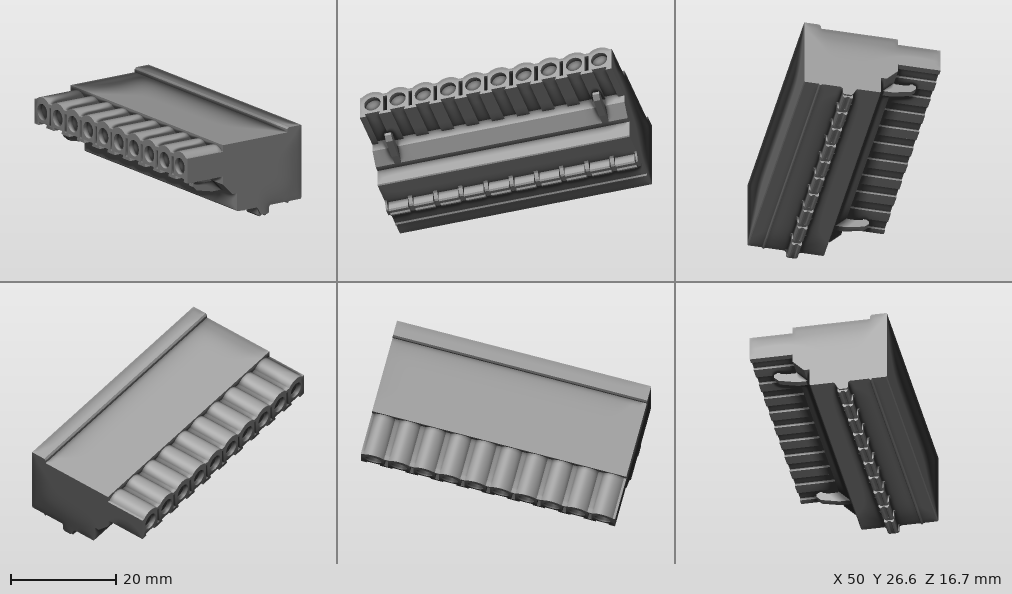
import cadquery as cq

pole_count = 10
pitch = 5.0
length = pole_count * pitch
depth = 26.6
height = 16.7
body_top = 13.7
body_front = 8.3
lower_front = 11.6
overhang_bottom = 3.6
bevel_start_y = 10.5
bevel_top = 5.7
front_edge_chamfer = 0.15
floor_edge_chamfer = 0.2

rail_top = 14.65
rail_front = 23.35
rail_chamfer = 0.325

row_bottom = 7.45
row_valley = 12.35
crown_top = 13.25
crown_radius = 2.9
entry_radius = 1.6
entry_z = 10.3
entry_depth = 1.0
slit_width = 0.75
slit_bottom = 8.1
slit_top = 11.7
groove_top = 8.1
groove_top_width = 2.95
groove_bottom_width = 2.5

arm_width = 1.3
arm_center = 4.4
arm_front = 3.95
arm_nose_bottom = 5.25
arm_nose_top = 5.8
arm_hook_front = 4.6
arm_hook_back = 5.1
arm_hook_top = 6.2
arm_hook_foot = (5.2, 5.95)
arm_rise_start = 6.35
arm_belly_front = (4.85, 4.4)
arm_belly_back = 8.45
arm_root_chamfer = 0.2

key_width = 3.9
key_front = 16.95
key_back = 18.9
key_bottom = -1.75
foot_tip = rail_top - height
foot_base_width = 0.75
foot_tip_width = 0.3
web_width = 0.8
web_back = 19.1
web_root_front = 16.55
web_tip_front = 17.1
web_bottom = -1.65
web_chamfer = 0.3
rib_y = 23.45
rib_half_width = 0.3
rib_tip_half_width = 0.1
rib_height = 0.3


def along_x(outline, start, width):
    """Extrude a closed (y, z) outline along X."""
    return cq.Workplane("YZ", origin=(start, 0, 0)).polyline(outline).close().extrude(width)


def along_y(outline, end):
    """Extrude a closed (x, z) outline from the entry face back to y = end."""
    return cq.Workplane("XZ").polyline(outline).close().extrude(-end)


def cylinder_along_y(x, z, radius, end):
    return cq.Workplane("XZ").center(x, z).circle(radius).extrude(-end)


def block(x0, x1, y0, y1, z0, z1):
    return cq.Workplane("XY").box(x1 - x0, y1 - y0, z1 - z0, centered=False).translate((x0, y0, z0))


pole_centers = [(i + 0.5) * pitch for i in range(pole_count)]
pole_borders = [i * pitch for i in range(1, pole_count)]


def make_housing():
    outline = [
        (lower_front + floor_edge_chamfer, 0),
        (depth - floor_edge_chamfer, 0),
        (depth, floor_edge_chamfer),
        (depth, rail_top),
        (rail_front + rail_chamfer, rail_top),
        (rail_front, rail_top - rail_chamfer),
        (rail_front, body_top),
        (body_front, body_top),
        (body_front, bevel_top + front_edge_chamfer),
        (body_front + front_edge_chamfer, bevel_top),
        (bevel_start_y, overhang_bottom),
        (lower_front, overhang_bottom),
        (lower_front, floor_edge_chamfer),
    ]
    return along_x(outline, 0, length)


def make_entry_row():
    row = block(0, length, 0, body_front, row_bottom, row_valley)
    envelope = block(0, length, 0, body_front, row_bottom, crown_top)
    for x in pole_centers:
        crown = cylinder_along_y(x, crown_top - crown_radius, crown_radius, body_front)
        row = row.union(crown.intersect(envelope))
    return row


def cut_entry_row(body):
    for x in pole_centers:
        hole = cylinder_along_y(x, entry_z, entry_radius, entry_depth)
        groove = along_y([
            (x - groove_bottom_width / 2, row_bottom),
            (x + groove_bottom_width / 2, row_bottom),
            (x + groove_top_width / 2, groove_top),
            (x - groove_top_width / 2, groove_top),
        ], body_front)
        body = body.cut(hole).cut(groove)
    for x in pole_borders:
        slit = block(x - slit_width / 2, x + slit_width / 2, 0, body_front, slit_bottom, slit_top)
        body = body.cut(slit)
    return body


def make_arm(x):
    outline = [
        (bevel_start_y, overhang_bottom),
        (arm_belly_back, overhang_bottom),
        arm_belly_front,
        (arm_front, arm_nose_bottom),
        (arm_front, arm_nose_top),
        (arm_hook_front, arm_hook_top),
        (arm_hook_back, arm_hook_top),
        arm_hook_foot,
        (arm_rise_start, bevel_top),
        (body_front - arm_root_chamfer, bevel_top),
        (body_front, bevel_top + arm_root_chamfer),
        (body_front + arm_root_chamfer, bevel_top + arm_root_chamfer),
        (body_front + arm_root_chamfer, bevel_top),
    ]
    return along_x(outline, x - arm_width / 2, arm_width)


def make_key(x):
    foot_flank = (foot_base_width - foot_tip_width) / 2
    outline = [
        (key_front, 0),
        (key_front, key_bottom),
        (key_front + foot_flank, foot_tip),
        (key_front + foot_flank + foot_tip_width, foot_tip),
        (key_front + foot_base_width, key_bottom),
        (key_back - foot_base_width, key_bottom),
        (key_back - foot_flank - foot_tip_width, foot_tip),
        (key_back - foot_flank, foot_tip),
        (key_back, key_bottom),
        (key_back, 0),
    ]
    return along_x(outline, x - key_width / 2, key_width)


def make_web(start, width):
    outline = [
        (web_root_front - web_chamfer, 0),
        (web_root_front, -web_chamfer),
        (web_tip_front, web_bottom + web_chamfer),
        (web_tip_front + web_chamfer, web_bottom),
        (web_back - web_chamfer, web_bottom),
        (web_back, web_bottom + web_chamfer),
        (web_back, -web_chamfer),
        (web_back + web_chamfer, 0),
    ]
    return along_x(outline, start, width)


def make_rib():
    outline = [
        (rib_y - rib_half_width, 0),
        (rib_y - rib_tip_half_width, -rib_height),
        (rib_y + rib_tip_half_width, -rib_height),
        (rib_y + rib_half_width, 0),
    ]
    return along_x(outline, 0, length)


body = make_housing().union(make_entry_row())
body = cut_entry_row(body)

for x in (arm_center, length - arm_center):
    body = body.union(make_arm(x))

for x in pole_centers:
    body = body.union(make_key(x))

for x in pole_borders:
    body = body.union(make_web(x - web_width / 2, web_width))
for start in (0, length - web_width / 2):
    body = body.union(make_web(start, web_width / 2))

result = body.union(make_rib())